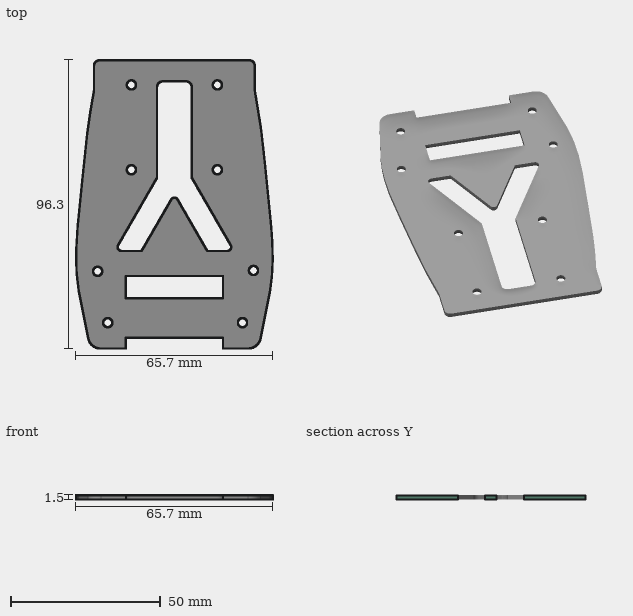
import cadquery as cq
import math

length = 96.3
max_width = 65.7
thickness = 1.5
half_length = length / 2

top_half_width = 26.9
top_corner_radius = 1.9
shoulder_y = 38.0
upper_flank = (29.1, 24.1)
middle_flank = (31.3, 2.9)
widest_point = (max_width / 2, -17.8)
lower_flank = (32.0, -28.9)
bottom_corner = (28.1, -half_length)
bottom_corner_radius = 4.3

opening_width = 32.35
strap_slot_top = -24.0
strap_slot_height = 7.3
bottom_notch_depth = 3.6

stem_half_width = 5.8
stem_top = 41.0
stem_corner_radius = 1.9
leg_bottom = -15.5
leg_outer_x = 19.8
island_half_width = 11.0
leg_corner_radius = 1.25
island_tip_radius = 1.25
leg_slope = math.tan(math.radians(60))

hole_diameter = 3.0
upper_hole_x = 14.3
upper_hole_rows = (39.9, 11.6)
lower_holes = ((-25.6, -22.3), (26.4, -22.0), (-22.2, -39.5), (22.7, -39.5))


def mirrored(point):
    """Reflect a point across the Y axis."""
    return (-point[0], point[1])


def make_plate():
    """Tapered plate with rounded corners and gently curved flanks."""
    shoulder = (top_half_width, shoulder_y)
    flank = [upper_flank, middle_flank, widest_point, lower_flank]
    left_flank = [mirrored(point) for point in reversed(flank)]
    plate = (
        cq.Workplane("XY")
        .moveTo(-top_half_width, half_length)
        .lineTo(top_half_width, half_length)
        .lineTo(*shoulder)
        .spline(flank, includeCurrent=True)
        .lineTo(*bottom_corner)
        .lineTo(*mirrored(bottom_corner))
        .lineTo(*left_flank[0])
        .spline(left_flank[1:] + [mirrored(shoulder)], includeCurrent=True)
        .close()
        .extrude(thickness)
    )
    plate = plate.edges("|Z").edges(">Y").fillet(top_corner_radius)
    return plate.edges("|Z").edges("<Y").fillet(bottom_corner_radius)


def rectangle_cutter(top, height):
    """Centred rectangular cutter hanging down from the given Y."""
    return (
        cq.Workplane("XY")
        .center(0, top - height / 2)
        .rect(opening_width, height)
        .extrude(thickness)
    )


def make_y_cutter():
    """Y-shaped cutter: a stem and two legs around a triangular island."""
    leg_start_y = leg_bottom + (leg_outer_x - stem_half_width) * leg_slope
    island_tip_y = leg_bottom + island_half_width * leg_slope
    right_side = [
        (stem_half_width, stem_top),
        (stem_half_width, leg_start_y),
        (leg_outer_x, leg_bottom),
        (island_half_width, leg_bottom),
    ]
    left_side = [mirrored(point) for point in reversed(right_side)]
    outline = right_side + [(0, island_tip_y)] + left_side
    cutter = cq.Workplane("XY").polyline(outline).close().extrude(thickness)
    cutter = cutter.edges("|Z").edges(">Y").fillet(stem_corner_radius)
    cutter = cutter.edges("|Z").edges("<X or >X").fillet(leg_corner_radius)
    tip = cq.selectors.NearestToPointSelector((0, island_tip_y, thickness / 2))
    return cutter.edges("|Z").edges(tip).fillet(island_tip_radius)


def make_hole_cutters():
    """Cylinders for the upper hole grid and the four lower holes."""
    upper_holes = [(side * upper_hole_x, y) for side in (-1, 1) for y in upper_hole_rows]
    return (
        cq.Workplane("XY")
        .pushPoints(upper_holes + list(lower_holes))
        .circle(hole_diameter / 2)
        .extrude(thickness)
    )


result = (
    make_plate()
    .cut(rectangle_cutter(strap_slot_top, strap_slot_height))
    .cut(rectangle_cutter(bottom_notch_depth - half_length, bottom_notch_depth))
    .cut(make_y_cutter())
    .cut(make_hole_cutters())
)